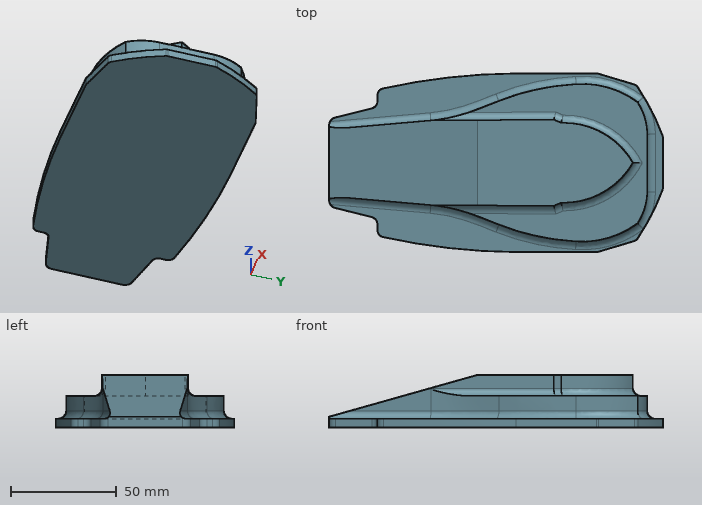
import cadquery as cq
import math

PLATE_HEIGHT = 4.25
MIDDLE_HEIGHT = 15.0
TOTAL_HEIGHT = 25.0
FILLET_RADIUS = 3.75

LENGTH = 158.07
HALF_WIDTH = 42.31

NOSE_HEIGHT = 5.2
SLOPE_END_X = 70.2

PLATE_NOSE_CORNER = (0.0, 20.7)
PLATE_STEP_X = 22.9
PLATE_STEP_INNER = (PLATE_STEP_X, 26.4)
PLATE_STEP_OUTER = (PLATE_STEP_X, 34.6)
PLATE_SIDE_MID = (55.0, 40.2)
PLATE_SIDE_END = (88.3, HALF_WIDTH)
PLATE_TAIL_SHOULDER = (127.0, HALF_WIDTH)
PLATE_TAIL_CORNER = (145.4, 36.8)
PLATE_TAIL_MID = (153.4, 23.2)
PLATE_TAIL_END = (LENGTH, 12.3)
NOSE_CORNER_RADIUS = 4.0
STEP_CORNER_RADIUS = 3.5
TAIL_CORNER_RADIUS = 3.0

NOSE_CORNER = (0.0, 15.8)
SPLIT_POINT = (48.1, 20.0)

FLARE_END = (80.3, 29.2)
FLARE_END_ANGLE = 22.0
MIDDLE_SIDE_END = (116.8, 37.2)
MIDDLE_SIDE_END_ANGLE = 3.6
MIDDLE_SHOULDER_MID = (133.0, 35.3)
MIDDLE_SHOULDER_END = (146.0, 28.7)
MIDDLE_TAIL_MID = (149.2, 22.0)
MIDDLE_TAIL_END = (150.6, 13.6)

TOP_SIDE_END = (106.4, 20.4)
TOP_ARC_CENTER = (111.2, -18.7)
TOP_ARC_RADIUS = 37.6
TOP_ARC_ANGLES = (92.0, 55.0, 20.0)

OVERLAP = 1.0
BEYOND_CENTERLINE = 5.0


def direction(angle):
    """Unit plan vector at an angle in degrees from the X axis."""
    return math.cos(math.radians(angle)), math.sin(math.radians(angle))


def angle_between(start, end):
    """Angle in degrees of the plan line from start to end."""
    return math.degrees(math.atan2(end[1] - start[1], end[0] - start[0]))


def top_arc_point(angle):
    """Point on the arc of the top tier wall."""
    dx, dy = direction(angle)
    return TOP_ARC_CENTER[0] + TOP_ARC_RADIUS * dx, TOP_ARC_CENTER[1] + TOP_ARC_RADIUS * dy


def trace_nose(path):
    """Draw the tapered nose wall."""
    return path.moveTo(*NOSE_CORNER).lineTo(*SPLIT_POINT)


def trace_middle(path):
    """Continue from the split point along the middle tier wall to just past the centreline."""
    flare_start = direction(angle_between(NOSE_CORNER, SPLIT_POINT))
    flare_end = direction(FLARE_END_ANGLE)
    side_end = direction(MIDDLE_SIDE_END_ANGLE)
    return (
        path.spline([SPLIT_POINT, FLARE_END], tangents=[flare_start, flare_end])
        .spline([FLARE_END, MIDDLE_SIDE_END], tangents=[flare_end, side_end])
        .threePointArc(MIDDLE_SHOULDER_MID, MIDDLE_SHOULDER_END)
        .threePointArc(MIDDLE_TAIL_MID, MIDDLE_TAIL_END)
        .lineTo(MIDDLE_TAIL_END[0], -BEYOND_CENTERLINE)
    )


def trace_top(path):
    """Continue from the split point along the top tier wall to just past the centreline."""
    arc_start, arc_mid, arc_end = [top_arc_point(angle) for angle in TOP_ARC_ANGLES]
    return path.lineTo(*TOP_SIDE_END).lineTo(*arc_start).threePointArc(arc_mid, arc_end)


def both_sides(body):
    """Keep the +Y side of a body and join it with its mirror image."""
    keep = cq.Workplane("XY").box(4 * LENGTH, 2 * HALF_WIDTH, 4 * TOTAL_HEIGHT, centered=(True, False, True))
    half = body.intersect(keep)
    return half.union(half.mirror("XZ"))


def wall_prism(trace_wall, height):
    """Upright prism bounded by the nose wall and the given tier wall."""
    outline = trace_wall(trace_nose(cq.Workplane("XY")))
    outline = outline.lineTo(0, -BEYOND_CENTERLINE)
    return both_sides(outline.close().extrude(height))


def foot_fillet(path, start, angle, floor):
    """Concave fillet strip swept along the foot of a wall that leaves start at the given plan angle."""
    along_x, along_y = direction(angle)
    section_plane = cq.Plane(
        origin=(*start, floor), xDir=(-along_y, along_x, 0), normal=(along_x, along_y, 0)
    )
    section = (
        cq.Workplane(section_plane)
        .moveTo(-OVERLAP, -OVERLAP)
        .lineTo(FILLET_RADIUS, -OVERLAP)
        .lineTo(FILLET_RADIUS, 0)
        .radiusArc((0, FILLET_RADIUS), FILLET_RADIUS)
        .lineTo(-OVERLAP, FILLET_RADIUS)
        .close()
    )
    return both_sides(section.sweep(path, transition="right"))


def round_corners(body, corners, radius):
    """Round the upright edges at the given plan points and at their mirror images."""
    for x, y in corners:
        for corner_y in (y, -y):
            edge = cq.selectors.NearestToPointSelector((x, corner_y, TOTAL_HEIGHT / 2))
            body = body.edges("|Z").edges(edge).fillet(radius)
    return body


def plate_prism():
    """Full-height prism over the outline of the base plate."""
    outline = (
        cq.Workplane("XY")
        .lineTo(*PLATE_NOSE_CORNER)
        .lineTo(*PLATE_STEP_INNER)
        .lineTo(*PLATE_STEP_OUTER)
        .threePointArc(PLATE_SIDE_MID, PLATE_SIDE_END)
        .lineTo(*PLATE_TAIL_SHOULDER)
        .lineTo(*PLATE_TAIL_CORNER)
        .threePointArc(PLATE_TAIL_MID, PLATE_TAIL_END)
        .lineTo(LENGTH, 0)
    )
    body = both_sides(outline.close().extrude(TOTAL_HEIGHT)).clean()
    body = round_corners(body, [PLATE_NOSE_CORNER], NOSE_CORNER_RADIUS)
    body = round_corners(body, [PLATE_STEP_INNER, PLATE_STEP_OUTER], STEP_CORNER_RADIUS)
    tail_corners = [PLATE_TAIL_SHOULDER, PLATE_TAIL_CORNER, PLATE_TAIL_END]
    return round_corners(body, tail_corners, TAIL_CORNER_RADIUS)


def slab(height):
    """Block wider and longer than the part, rising from the bottom plane."""
    return cq.Workplane("XY").box(4 * LENGTH, 4 * HALF_WIDTH, height, centered=(True, True, False))


def middle_fillet(footprint):
    """Fillet at the foot of the middle tier, cut off where it would overhang the plate."""
    path = trace_middle(trace_nose(cq.Workplane("XY", origin=(0, 0, PLATE_HEIGHT))))
    nose_angle = angle_between(NOSE_CORNER, SPLIT_POINT)
    return foot_fillet(path, NOSE_CORNER, nose_angle, PLATE_HEIGHT).intersect(footprint)


def upper_tiers():
    """Middle and top tiers, with the fillet between them cut off where it would overhang the middle wall."""
    path = trace_top(cq.Workplane("XY", origin=(0, 0, MIDDLE_HEIGHT)).moveTo(*SPLIT_POINT))
    side_angle = angle_between(SPLIT_POINT, TOP_SIDE_END)
    fillet = foot_fillet(path, SPLIT_POINT, side_angle, MIDDLE_HEIGHT)
    stepped_block = slab(MIDDLE_HEIGHT).union(wall_prism(trace_top, TOTAL_HEIGHT)).union(fillet)
    return stepped_block.intersect(wall_prism(trace_middle, TOTAL_HEIGHT))


def nose_cutter():
    """Wedge of material removed above the sloped nose face."""
    return (
        cq.Workplane("XZ")
        .moveTo(0, NOSE_HEIGHT)
        .lineTo(SLOPE_END_X, TOTAL_HEIGHT)
        .lineTo(SLOPE_END_X, TOTAL_HEIGHT + OVERLAP)
        .lineTo(-OVERLAP, TOTAL_HEIGHT + OVERLAP)
        .lineTo(-OVERLAP, NOSE_HEIGHT)
        .close()
        .extrude(2 * HALF_WIDTH, both=True)
    )


footprint = plate_prism()
base_plate = footprint.intersect(slab(PLATE_HEIGHT))
result = base_plate.union(middle_fillet(footprint)).union(upper_tiers())
result = result.cut(nose_cutter()).clean()